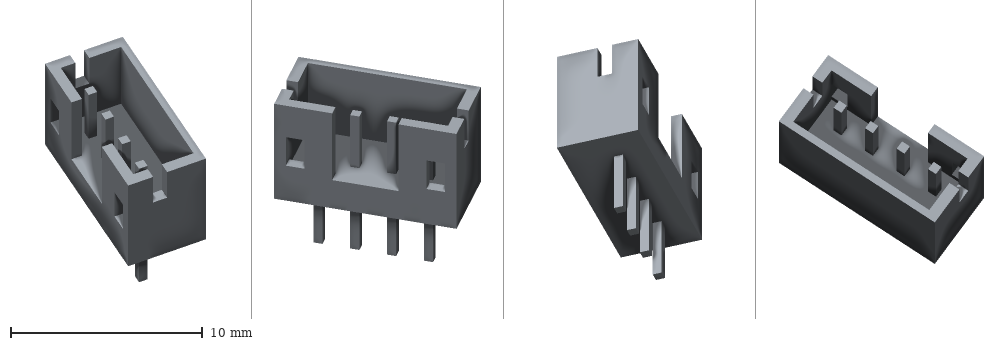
import cadquery as cq

length = 9.9
depth = 4.5
height = 6.0
end_wall = 0.63
front_wall = 0.6
back_wall = 0.41
floor_thickness = 1.78

front_opening_width = 3.6

window_width = 1.0
window_height = 1.8
window_bottom = 2.21

slot_front = 1.45
slot_width = 0.81
slot_depth = 1.9

pin_count = 4
pin_pitch = 2.0
pin_size = 0.495
pin_y = 1.7
pin_below = 3.4
pin_top = 5.04

cavity_length = length - 2 * end_wall
cavity_depth = depth - front_wall - back_wall
cavity_height = height - floor_thickness


def block(x_center, y_front, z_bottom, x_size, y_size, z_size):
    """Box centred in X, placed by its front face and its bottom face."""
    box = cq.Workplane("XY").box(x_size, y_size, z_size, centered=(True, False, False))
    return box.translate((x_center, y_front, z_bottom))


housing = block(0, 0, 0, length, depth, height)
cavity = block(0, front_wall, floor_thickness, cavity_length, cavity_depth, cavity_height)
front_opening = block(0, 0, floor_thickness, front_opening_width, front_wall, cavity_height)
end_slots = block(0, slot_front, height - slot_depth, length, slot_width, slot_depth)
result = housing.cut(cavity).cut(front_opening).cut(end_slots)

window_x = (cavity_length - window_width) / 2
for side in (-1, 1):
    window = block(side * window_x, 0, window_bottom, window_width, front_wall, window_height)
    result = result.cut(window)

for index in range(pin_count):
    pin_x = (index - (pin_count - 1) / 2) * pin_pitch
    pin_front = pin_y - pin_size / 2
    pin = block(pin_x, pin_front, -pin_below, pin_size, pin_size, pin_below + pin_top)
    result = result.union(pin)